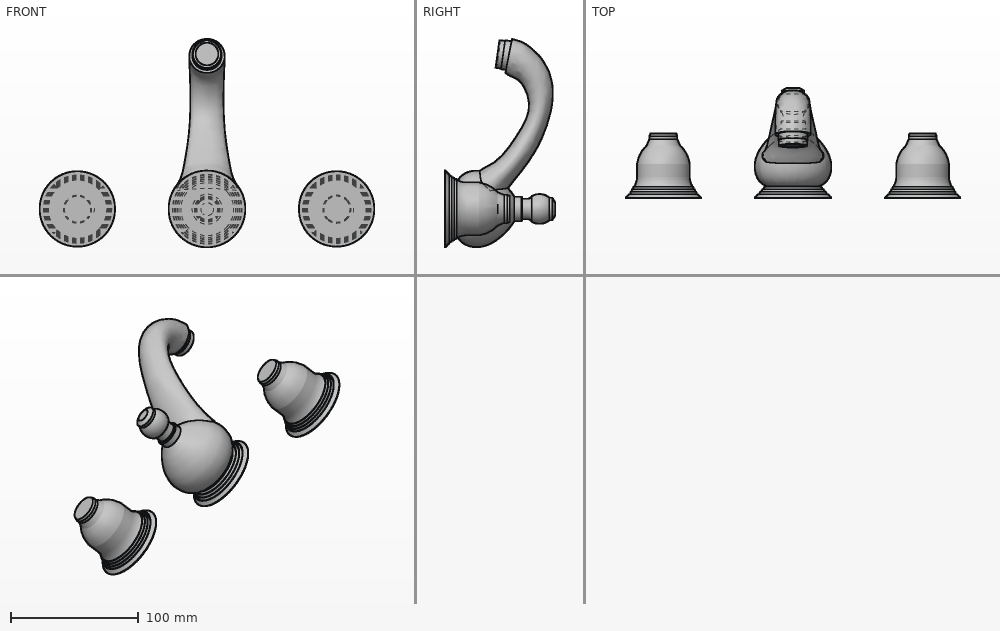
import cadquery as cq
import math

total_width = 262.6
handle_rim_radius = 29.7
spout_rim_radius = 30.2
handle_spacing = total_width / 2 - handle_rim_radius

rim_thickness = 0.5
flange_steps = 4
flange_first_step = 3.5
flange_step_rise = 1.97
flange_step_ledge = 0.5
flange_foot_slope = 1.0
handle_flange_slope = 0.3
spout_flange_slope = 0.6

handle_body_radius = 20.7
handle_waist = (21.5, 12.3)
handle_body_start = 16.8
handle_body_end = 27.0
handle_shoulder_radius = 13.1
handle_shoulder_height = 41.5
handle_bulge = (18.5, 34.7)
handle_neck_radius = 11.0
handle_neck_start = 46.5
handle_length = 51.0
handle_end_taper_width = 0.8
handle_end_taper_length = 2.0

bulb_radius = 30.2
bulb_height = 25.0
bulb_neck_radius = 20.7
bulb_neck_height = 9.5
bulb_low_mid = (27.8, 15.5)
bulb_top_mid = (22.3, 43.5)

collar_radius = 9.7
collar_start = 54.5
collar_end = 61.0
collar_bevel_width = 0.5
collar_bevel_length = 1.0
knob_neck_radius = 8.1
knob_neck_end = 65.1
knob_neck_flare = (8.7, 67.0)
ball_start = 68.3
ball_radius = 11.8
ball_center = 74.3
button_radius = 9.0
button_end = 84.3
button_face_radius = 5.0
knob_end = 86.7

arm_stations = [
    ((23.6, 26.3), (43.3, 6.5), 24.2),
    ((37.3, 35.7), (52.5, 20.0), 19.5),
    ((52.5, 51.7), (68.3, 40.7), 16.0),
    ((63.3, 69.5), (79.8, 64.3), 13.7),
    ((66.0, 82.2), (84.8, 86.7), 13.1),
    ((62.0, 95.5), (80.5, 110.3), 13.5),
    ((55.2, 102.5), (67.8, 126.3), 14.0),
    ((47.5, 106.6), (52.8, 133.5), 14.0),
]

nozzle_tilt = 8.0
nozzle_center = (50.2, 120.3)
nozzle_length = 9.0
nozzle_root_radius = 11.5
nozzle_root_length = 4.5
nozzle_radius = 11.0
outlet_radius = 9.0
outlet_depth = 0.8


def flange_profile(rim_radius, slope):
    """Half outline of the rim and the stepped slope, going up from the mounting face."""
    profile = cq.Workplane("XY").lineTo(rim_radius, 0).lineTo(rim_radius, rim_thickness)
    radius = rim_radius - flange_foot_slope * (flange_first_step - rim_thickness)
    height = flange_first_step
    for _ in range(flange_steps):
        profile = profile.lineTo(radius, height)
        radius -= flange_step_ledge
        profile = profile.lineTo(radius, height)
        radius -= slope * flange_step_rise
        height += flange_step_rise
    return profile


def revolve_about_y(profile):
    return profile.close().revolve(360, (0, 0, 0), (0, 1, 0))


def make_handle(center_x):
    profile = flange_profile(handle_rim_radius, handle_flange_slope)
    profile = (
        profile.threePointArc(handle_waist, (handle_body_radius, handle_body_start))
        .lineTo(handle_body_radius, handle_body_end)
        .threePointArc(handle_bulge, (handle_shoulder_radius, handle_shoulder_height))
        .lineTo(handle_neck_radius, handle_neck_start)
        .lineTo(handle_neck_radius, handle_length - handle_end_taper_length)
        .lineTo(handle_neck_radius - handle_end_taper_width, handle_length)
        .lineTo(0, handle_length)
    )
    return revolve_about_y(profile).translate((center_x, 0, 0))


def make_spout_base():
    """Flange, bulb and knob, all round about the Y axis."""
    ball_start_radius = math.sqrt(ball_radius**2 - (ball_center - ball_start) ** 2)
    ball_end = ball_center + math.sqrt(ball_radius**2 - button_radius**2)
    profile = flange_profile(spout_rim_radius, spout_flange_slope)
    profile = (
        profile.lineTo(bulb_neck_radius, bulb_neck_height)
        .spline(
            [bulb_low_mid, (bulb_radius, bulb_height), bulb_top_mid, (collar_radius, collar_start)],
            includeCurrent=True,
        )
        .lineTo(collar_radius, collar_end - collar_bevel_length)
        .lineTo(collar_radius - collar_bevel_width, collar_end)
        .lineTo(knob_neck_radius, collar_end)
        .lineTo(knob_neck_radius, knob_neck_end)
        .threePointArc(knob_neck_flare, (ball_start_radius, ball_start))
        .threePointArc((ball_radius, ball_center), (button_radius, ball_end))
        .lineTo(button_radius, button_end)
        .lineTo(button_face_radius, knob_end)
        .lineTo(0, knob_end)
    )
    return revolve_about_y(profile)


def arm_section(inner, outer, half_width):
    """Ellipse across the arm, one axis from inner to outer and the other along X."""
    rise_y = outer[0] - inner[0]
    rise_z = outer[1] - inner[1]
    half_depth = math.hypot(rise_y, rise_z) / 2
    center = (0, (inner[0] + outer[0]) / 2, (inner[1] + outer[1]) / 2)
    plane = cq.Plane(origin=center, xDir=(1, 0, 0), normal=(0, -rise_z, rise_y))
    return cq.Workplane(plane).ellipse(half_width, half_depth).wires().val()


def make_arm():
    sections = [arm_section(*station) for station in arm_stations]
    return cq.Workplane(cq.Solid.makeLoft(sections))


def make_nozzle():
    """Stepped round nozzle with a shallow outlet recess."""
    tilt = math.radians(nozzle_tilt)
    plane = cq.Plane(
        origin=(0, *nozzle_center),
        xDir=(1, 0, 0),
        normal=(0, -math.cos(tilt), math.sin(tilt)),
    )
    root = cq.Workplane(plane).workplane(offset=-nozzle_root_length)
    nozzle = root.circle(nozzle_root_radius).extrude(2 * nozzle_root_length)
    tip = cq.Workplane(plane).circle(nozzle_radius).extrude(nozzle_length)
    outlet = (
        cq.Workplane(plane)
        .workplane(offset=nozzle_length - outlet_depth)
        .circle(outlet_radius)
        .extrude(outlet_depth)
    )
    return nozzle.union(tip).cut(outlet)


def make_spout():
    return make_spout_base().union(make_arm()).union(make_nozzle())


handles = [make_handle(side * handle_spacing) for side in (-1, 1)]
spout = make_spout()

result = cq.Compound.makeCompound([spout.val(), *[handle.val() for handle in handles]])